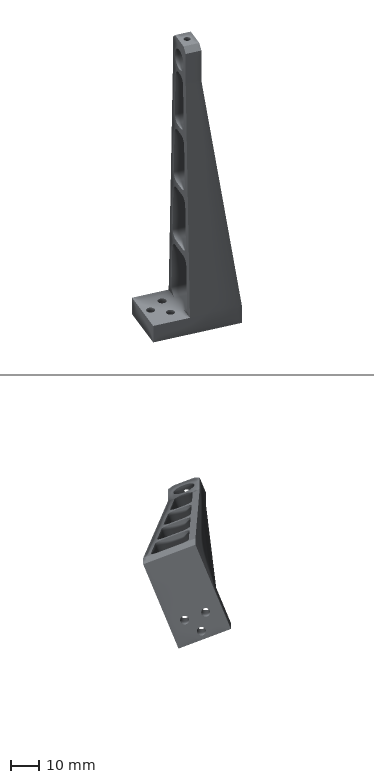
import cadquery as cq

total_height = 118.0
base_width = 20.0
base_length = 34.0
base_thickness = 7.0
column_depth = 20.0

head_width = 12.0
head_depth = 6.0
head_chamfer = 2.0
side_taper_end = 103.5
back_taper_end = 103.1
bore_diameter = 8.0
bore_height = 110.0
top_hole_diameter = 2.5

window_count = 4
window_pitch = 24.9
window_height = 22.5
side_wall = 2.6
window_radius = 3.0

mount_hole_diameter = 3.2
mount_pair_spacing = 8.0
mount_pair_y = -5.0
mount_single_y = -11.0


def half_width_at(z):
    """Half the outer width of the tapered column at height z."""
    rise = (z - base_thickness) / (side_taper_end - base_thickness)
    return (base_width - (base_width - head_width) * rise) / 2


def make_base():
    front_y = column_depth - base_length
    return cq.Workplane("XY").box(
        base_width, base_length, base_thickness, centered=(True, False, False)
    ).translate((0, front_y, 0))


def make_column():
    """Intersect the front outline with the side outline."""
    half_base = base_width / 2
    half_head = head_width / 2
    chamfer_start = total_height - head_chamfer
    half_top = half_head - head_chamfer
    front_outline = (
        cq.Workplane("XZ")
        .polyline([
            (-half_base, base_thickness),
            (half_base, base_thickness),
            (half_head, side_taper_end),
            (half_head, chamfer_start),
            (half_top, total_height),
            (-half_top, total_height),
            (-half_head, chamfer_start),
            (-half_head, side_taper_end),
        ])
        .close()
        .extrude(-column_depth)
    )
    side_outline = (
        cq.Workplane("YZ")
        .polyline([
            (0, base_thickness),
            (column_depth, base_thickness),
            (head_depth, back_taper_end),
            (head_depth, total_height),
            (0, total_height),
        ])
        .close()
        .extrude(base_width / 2, both=True)
    )
    return front_outline.intersect(side_outline)


def make_window(bottom):
    """Rounded trapezoid through the column, its sides parallel to the taper."""
    top = bottom + window_height
    half_bottom = half_width_at(bottom) - side_wall
    half_top = half_width_at(top) - side_wall
    return (
        cq.Workplane("XZ")
        .polyline([
            (-half_bottom, bottom),
            (half_bottom, bottom),
            (half_top, top),
            (-half_top, top),
        ])
        .close()
        .extrude(-column_depth)
        .edges("|Y")
        .fillet(window_radius)
    )


def make_bore():
    return (
        cq.Workplane("XZ")
        .center(0, bore_height)
        .circle(bore_diameter / 2)
        .extrude(-head_depth)
    )


def make_top_hole():
    """Vertical hole from the top of the head into the cross bore."""
    return (
        cq.Workplane("XY", origin=(0, head_depth / 2, bore_height))
        .circle(top_hole_diameter / 2)
        .extrude(total_height - bore_height)
    )


def make_mount_holes():
    return (
        cq.Workplane("XY")
        .pushPoints([
            (-mount_pair_spacing / 2, mount_pair_y),
            (mount_pair_spacing / 2, mount_pair_y),
            (0, mount_single_y),
        ])
        .circle(mount_hole_diameter / 2)
        .extrude(base_thickness)
    )


result = make_base().union(make_column())
for index in range(window_count):
    result = result.cut(make_window(base_thickness + index * window_pitch))
result = result.cut(make_bore()).cut(make_top_hole()).cut(make_mount_holes())